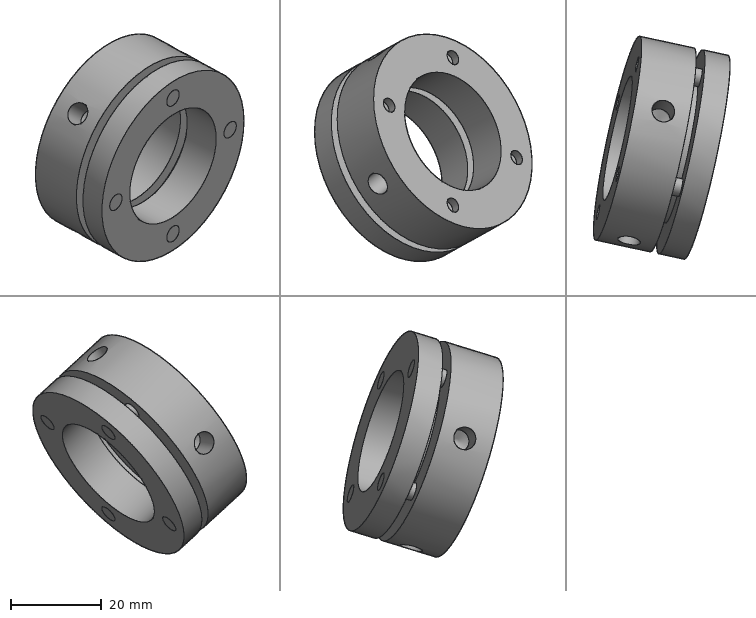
import cadquery as cq
import math

OUTER_DIAMETER = 46.0
BORE_DIAMETER = 27.95
BODY_LENGTH = 12.35
GROOVE_WIDTH = 2.0
FLANGE_LENGTH = 5.7

NECK_OUTER_DIAMETER = 32.1

BORE_GROOVE_DIAMETER = 33.6
BORE_GROOVE_START = 9.3
BORE_GROOVE_WIDTH = 2.0

PIN_COUNT = 4
PIN_CIRCLE_DIAMETER = 37.0
THICK_END_DIAMETER = 4.0
SHANK_DIAMETER = 3.3
SHANK_RECESS = 2.0

RADIAL_HOLE_DIAMETER = 5.0
RADIAL_HOLE_DEPTH = 6.0
RADIAL_HOLE_X = 6.5
DRILL_POINT_ANGLE = 118.0

FLANGE_START = BODY_LENGTH + GROOVE_WIDTH
TOTAL_LENGTH = FLANGE_START + FLANGE_LENGTH
PIN_SPACING = 360.0 / PIN_COUNT


def cylinder(diameter, start, end):
    """Cylinder on the X axis between two X positions."""
    return cq.Workplane("YZ", origin=(start, 0, 0)).circle(diameter / 2).extrude(end - start)


def tube(outer_diameter, inner_diameter, start, end):
    """Tube on the X axis between two X positions."""
    return cylinder(outer_diameter, start, end).cut(cylinder(inner_diameter, start, end))


def around_axis(shape):
    """Copies of a shape, evenly spaced around the X axis."""
    return [
        shape.rotate((0, 0, 0), (1, 0, 0), i * PIN_SPACING)
        for i in range(PIN_COUNT)
    ]


def off_axis_cylinder(diameter, start, end):
    """Cylinder parallel to the X axis, at the top of the pin circle."""
    return cylinder(diameter, start, end).translate((0, 0, PIN_CIRCLE_DIAMETER / 2))


def make_stepped_cylinder(start):
    """Thin shank from the start to the neck, then a thick end to the flange's end."""
    shank = off_axis_cylinder(SHANK_DIAMETER, start, BODY_LENGTH)
    thick_end = off_axis_cylinder(THICK_END_DIAMETER, BODY_LENGTH, TOTAL_LENGTH)
    return shank.union(thick_end)


def make_pin():
    """Stepped pin, set back from the -X face of the housing."""
    return make_stepped_cylinder(SHANK_RECESS)


def make_pin_hole():
    """Stepped hole through the whole housing."""
    return make_stepped_cylinder(0)


def make_radial_hole():
    """Blind hole with a conical drill point, as a half profile spun about the hole's own axis."""
    radius = RADIAL_HOLE_DIAMETER / 2
    mouth_z = OUTER_DIAMETER / 2
    wall_end_z = mouth_z - RADIAL_HOLE_DEPTH
    point_depth = radius / math.tan(math.radians(DRILL_POINT_ANGLE / 2))
    hole = (
        cq.Workplane("XZ", origin=(RADIAL_HOLE_X, 0, 0))
        .moveTo(0, mouth_z)
        .lineTo(radius, mouth_z)
        .lineTo(radius, wall_end_z)
        .lineTo(0, wall_end_z - point_depth)
        .close()
        .revolve(360, (0, 0, 0), (0, 1, 0))
    )
    return hole.rotate((0, 0, 0), (1, 0, 0), PIN_SPACING / 2)


def make_housing():
    body = tube(OUTER_DIAMETER, BORE_DIAMETER, 0, BODY_LENGTH)
    neck = tube(NECK_OUTER_DIAMETER, BORE_DIAMETER, BODY_LENGTH, FLANGE_START)
    flange = tube(OUTER_DIAMETER, BORE_DIAMETER, FLANGE_START, TOTAL_LENGTH)
    bore_groove = cylinder(
        BORE_GROOVE_DIAMETER, BORE_GROOVE_START, BORE_GROOVE_START + BORE_GROOVE_WIDTH
    )
    housing = body.union(neck).union(flange).cut(bore_groove)
    for cutter in (make_pin_hole(), make_radial_hole()):
        for copy in around_axis(cutter):
            housing = housing.cut(copy)
    return housing


housing = make_housing()
pins = around_axis(make_pin())

result = cq.Compound.makeCompound([housing.val(), *[pin.val() for pin in pins]])